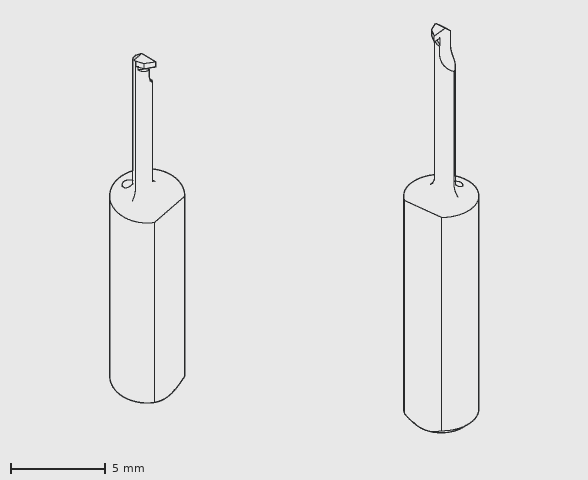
import cadquery as cq
import math

total_length = 25.0
shank_length = 14.3
shank_radius = 2.0
flat_x = 1.55
shank_chamfer = 0.45

coolant_diameter = 0.7
coolant_x = -1.28

back_radius = 0.68
back_x = -0.8
front_radius = 0.72
front_x = 0.15
root_fillet = 0.8
neck_embed = 0.25

head_thickness = 0.4
tip_x = 0.6
shoulder_x = 0.2
shoulder_y = -0.5
heel_x = -0.25
heel_y = -0.65
back_bevel_x = -0.38

recess_outer_x = 0.1
recess_inner_x = -0.15
recess_inner_y = -0.58
recess_high_z = 24.35
recess_low_z = 24.1

relief_bottom = 22.5
relief_arc_radius = 1.08
relief_runout_y = 0.68

margin = 1.0


def make_round_shank():
    bar = cq.Workplane("XY").circle(shank_radius).extrude(shank_length)
    return bar.faces("<Z").chamfer(shank_chamfer)


def make_flat():
    """Block that trims the +X side of the shank."""
    block = cq.Workplane("XY").box(
        shank_radius, 2 * shank_radius, shank_length, centered=(False, True, False)
    )
    return block.translate((flat_x, 0, 0))


def make_flared_bar(center_x, radius):
    """Round bar about a vertical axis, with a concave fillet at its foot."""
    arc_inset = root_fillet * (1 - math.sqrt(0.5))
    profile = (
        cq.Workplane("XZ")
        .moveTo(0, shank_length - neck_embed)
        .lineTo(radius + root_fillet, shank_length - neck_embed)
        .lineTo(radius + root_fillet, shank_length)
        .threePointArc(
            (radius + arc_inset, shank_length + arc_inset),
            (radius, shank_length + root_fillet),
        )
        .lineTo(radius, total_length)
        .lineTo(0, total_length)
        .close()
    )
    return profile.revolve(360, (0, 0, 0), (0, 1, 0)).translate((center_x, 0, 0))


def make_neck():
    back_bar = make_flared_bar(back_x + back_radius, back_radius)
    front_bar = make_flared_bar(front_x - front_radius, front_radius)
    return back_bar.intersect(front_bar)


def make_recess():
    """Flank clearance under the head: an oblique wall above a sloping floor."""
    top = total_length - head_thickness
    section = (
        cq.Workplane("XZ")
        .moveTo(recess_inner_x, top)
        .lineTo(recess_inner_x, recess_high_z)
        .lineTo(front_x, recess_low_z)
        .lineTo(front_x + margin, recess_low_z)
        .lineTo(front_x + margin, top)
        .close()
        .extrude(margin)
    )
    corners = [
        (recess_outer_x, 0),
        (recess_inner_x, recess_inner_y),
        (recess_inner_x, -margin),
        (front_x + margin, -margin),
        (front_x + margin, 0),
    ]
    wedge = cq.Workplane("XY").polyline(corners).close().extrude(total_length)
    return section.intersect(wedge)


def make_head():
    outline = [
        (heel_x, 0),
        (tip_x, 0),
        (shoulder_x, shoulder_y),
        (heel_x, heel_y),
    ]
    head = cq.Workplane("XY").polyline(outline).close().extrude(head_thickness)
    return head.translate((0, 0, total_length - head_thickness))


def make_relief():
    """Material removed on the +Y side of the tip."""
    arc_end_y = relief_arc_radius * (1 - math.sqrt(0.5))
    arc_drop = relief_arc_radius * math.sqrt(0.5)
    arc_end_z = relief_bottom + relief_runout_y - arc_end_y
    arc_start_z = arc_end_z + arc_drop
    middle = math.radians(22.5)
    arc_middle = (
        relief_arc_radius * (1 - math.cos(middle)),
        arc_start_z - relief_arc_radius * math.sin(middle),
    )
    return (
        cq.Workplane("YZ")
        .moveTo(0, total_length)
        .lineTo(0, arc_start_z)
        .threePointArc(arc_middle, (arc_end_y, arc_end_z))
        .lineTo(relief_runout_y, relief_bottom)
        .lineTo(margin, relief_bottom)
        .lineTo(margin, total_length)
        .close()
        .extrude(margin, both=True)
    )


def make_back_bevel():
    """45 degree wedge removed from the -X top edge of the head."""
    return (
        cq.Workplane("XZ")
        .moveTo(back_bevel_x, total_length)
        .lineTo(back_bevel_x - margin, total_length)
        .lineTo(back_bevel_x - margin, total_length - margin)
        .close()
        .extrude(margin, both=True)
    )


coolant_hole = (
    cq.Workplane("XY").center(coolant_x, 0).circle(coolant_diameter / 2).extrude(total_length)
)

neck = make_neck().cut(make_recess()).union(make_head())
neck = neck.cut(make_relief()).cut(make_back_bevel())
result = make_round_shank().union(neck).cut(coolant_hole).cut(make_flat())